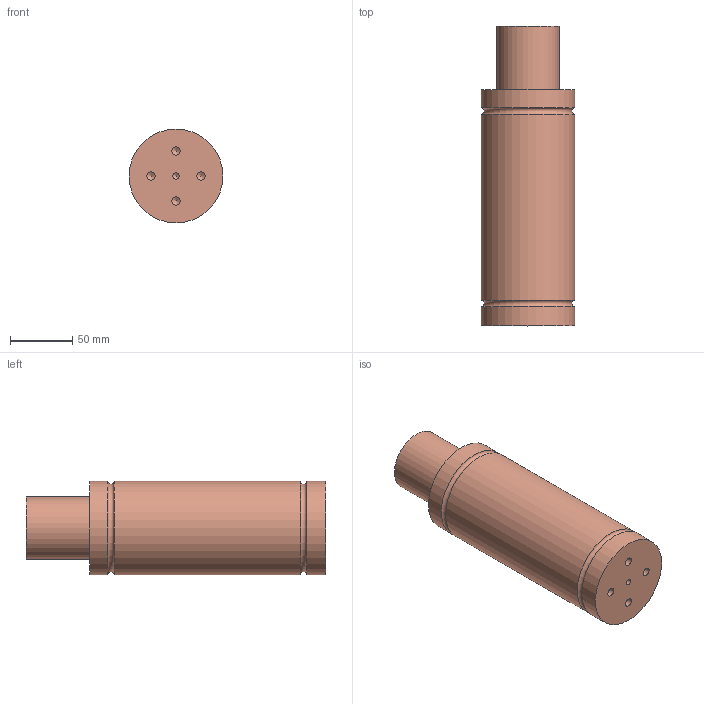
import cadquery as cq
import math

body_diameter = 75.0
body_length = 189.0
rod_diameter = 50.0
total_length = 240.0

groove_radius = 2.5
base_groove_offset = 18.0
collar_groove_offset = 17.0

mount_hole_diameter = 6.65
mount_hole_depth = 13.0
mount_circle_diameter = 40.0
mount_hole_count = 4
fill_hole_diameter = 5.0
fill_hole_depth = 13.0
drill_point_angle = 118.0


def cylinder_along_y(diameter, start, length):
    """Solid cylinder on the Y axis from Y = start to Y = start + length."""
    base = cq.Workplane("XZ", origin=(0, start, 0))
    return base.circle(diameter / 2).extrude(-length)


def ring_groove(centre_y):
    """Torus centred on the body surface, cutting a half-round groove."""
    section = cq.Workplane("XY").center(body_diameter / 2, centre_y).circle(groove_radius)
    return section.revolve(360, (-body_diameter / 2, 0), (-body_diameter / 2, 1))


def drilled_hole(diameter, depth, x=0.0, z=0.0):
    """Hole into the base face, with a conical drill point below its full-diameter depth."""
    radius = diameter / 2
    point_depth = radius / math.tan(math.radians(drill_point_angle / 2))
    half_section = (
        cq.Workplane("XY")
        .lineTo(radius, 0)
        .lineTo(radius, depth)
        .lineTo(0, depth + point_depth)
        .close()
    )
    return half_section.revolve(360, (0, 0), (0, 1)).translate((x, 0, z))


result = cylinder_along_y(body_diameter, 0, body_length)
result = result.union(cylinder_along_y(rod_diameter, body_length, total_length - body_length))

for groove_y in (base_groove_offset, body_length - collar_groove_offset):
    result = result.cut(ring_groove(groove_y))

result = result.cut(drilled_hole(fill_hole_diameter, fill_hole_depth))
for index in range(mount_hole_count):
    angle = 2 * math.pi * index / mount_hole_count
    hole_x = mount_circle_diameter / 2 * math.cos(angle)
    hole_z = mount_circle_diameter / 2 * math.sin(angle)
    result = result.cut(drilled_hole(mount_hole_diameter, mount_hole_depth, hole_x, hole_z))